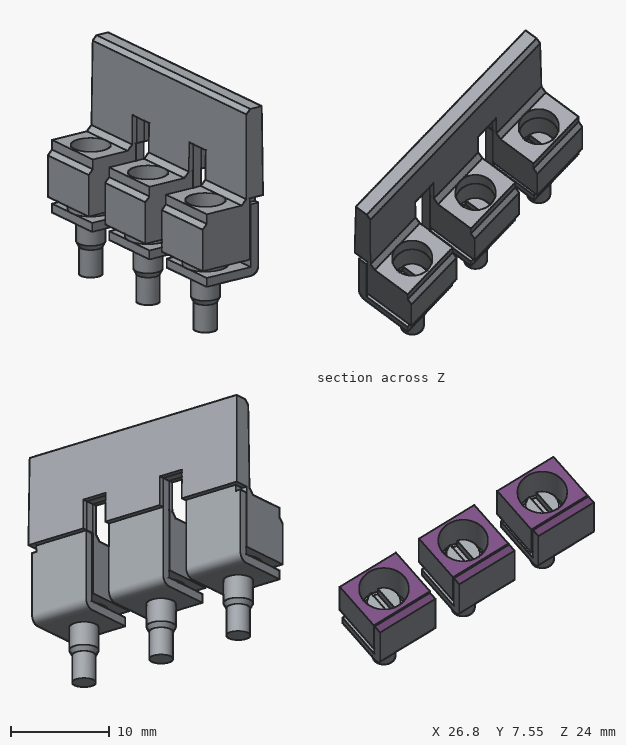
import cadquery as cq
import math


LENGTH = 26.83
DEPTH = 7.55
HEIGHT = 24.0
POLES = 3
POLE_WIDTH = 6.98
POLE_PITCH = (LENGTH - POLE_WIDTH) / (POLES - 1)
POLE_POSITIONS = [(i - (POLES - 1) / 2) * POLE_PITCH for i in range(POLES)]

GAP_WIDTH = 2.85
GAP_OFFSET = (POLE_WIDTH + GAP_WIDTH) / 2
GAP_TOP = 17.6

PLATE_BOTTOM = 14.43
PLATE_THICKNESS = 2.12
PLATE_TAPER = 0.095
PLATE_CHAMFER = 0.48
WALL = 0.6

BLOCK_BOTTOM = 7.83
BLOCK_TOP = 13.87
BLOCK_BACK = 1.66
BLOCK_CHAMFER = 0.5
LIP_HEIGHT = 1.05

HOLE_DIAMETER = 4.08
HOLE_DEPTH = 1.85

STRIP_THICKNESS = 0.97
STRIP_BACK = WALL
STRIP_FRONT = STRIP_BACK + STRIP_THICKNESS
STRIP_TOP = HEIGHT - WALL
LEG_SHOULDER = 13.76
SHELF_BOTTOM = 6.05
SHELF_TOP = SHELF_BOTTOM + STRIP_THICKNESS
SHELF_FRONT = DEPTH - BLOCK_CHAMFER

SCREW_Y = -4.7
TIP_DIAMETER = 2.41
SHANK_DIAMETER = 3.0
SHANK_BOTTOM = 3.55
SHANK_CONE_HEIGHT = 0.56
COLLAR_DIAMETER = 4.72
COLLAR_TOP = 7.65
COLLAR_CLEARANCE = 0.13
HEAD_BASE_DIAMETER = 3.5
HEAD_TOP_DIAMETER = 3.35
HEAD_HEIGHT = 2.0
DRIVE_WIDTH = 0.85
DRIVE_DEPTH = 1.0


def box(x_size, x_middle, y_back, y_front, z_low, z_high):
    """Box centred on x_middle, between two depths behind the front and two heights."""
    return (
        cq.Workplane("XY")
        .box(x_size, y_front - y_back, z_high - z_low, centered=(True, False, False))
        .translate((x_middle, -y_front, z_low))
    )


def cover_plate():
    """Upright plate, tapered on all four sides, with a chamfer along its top front edge."""
    height = HEIGHT - PLATE_BOTTOM
    taper_angle = math.degrees(math.atan(PLATE_TAPER / height))
    return (
        cq.Workplane("XY", origin=(0, -PLATE_THICKNESS / 2, PLATE_BOTTOM))
        .rect(LENGTH, PLATE_THICKNESS)
        .extrude(height, taper=taper_angle)
        .faces(">Z")
        .edges("<Y")
        .chamfer(PLATE_CHAMFER)
    )


def block_row():
    """Block under the front of the plate, running the full length."""
    lip_bottom = BLOCK_TOP - LIP_HEIGHT
    profile = [
        (-BLOCK_BACK, BLOCK_BOTTOM),
        (-DEPTH, BLOCK_BOTTOM),
        (-DEPTH, lip_bottom - BLOCK_CHAMFER),
        (-DEPTH + BLOCK_CHAMFER, lip_bottom),
        (-DEPTH + BLOCK_CHAMFER, BLOCK_TOP),
        (-PLATE_THICKNESS - (PLATE_BOTTOM - BLOCK_TOP), BLOCK_TOP),
        (-PLATE_THICKNESS, PLATE_BOTTOM),
        (-BLOCK_BACK, PLATE_BOTTOM),
    ]
    return cq.Workplane("YZ").polyline(profile).close().extrude(LENGTH / 2, both=True)


def screwdriver_hole(x):
    """Hole down through one block, widening below so that the collar of the screw can rise into it."""
    bore_radius = COLLAR_DIAMETER / 2 + COLLAR_CLEARANCE
    upper = (
        cq.Workplane("XY", origin=(x, SCREW_Y, BLOCK_TOP))
        .circle(HOLE_DIAMETER / 2)
        .extrude(-HOLE_DEPTH)
    )
    lower = (
        cq.Workplane("XY", origin=(x, SCREW_Y, BLOCK_BOTTOM))
        .circle(bore_radius)
        .extrude(BLOCK_TOP - HOLE_DEPTH - BLOCK_BOTTOM)
    )
    return upper.union(lower)


def cut_gaps(body):
    """Cut the gaps between the poles into a body."""
    for x in (-GAP_OFFSET, GAP_OFFSET):
        body = body.cut(box(GAP_WIDTH, x, 0, DEPTH, BLOCK_BOTTOM, GAP_TOP))
    return body


def strip_slab():
    """Slab enclosing the part of the bridge that sits inside the cover plate."""
    return box(LENGTH - 2 * WALL, 0, STRIP_BACK, STRIP_FRONT, PLATE_BOTTOM, STRIP_TOP)


def make_housing():
    housing = cut_gaps(cover_plate().union(block_row()))
    for x in POLE_POSITIONS:
        housing = housing.cut(screwdriver_hole(x))
    return housing.cut(strip_slab())


def leg(x):
    """L-shaped leg with a rounded outer bend; its shelf carries one screw."""
    upright = box(POLE_WIDTH, x, STRIP_BACK, STRIP_FRONT, SHELF_BOTTOM, PLATE_BOTTOM)
    shelf = box(POLE_WIDTH, x, STRIP_BACK, SHELF_FRONT, SHELF_BOTTOM, SHELF_TOP)
    return upright.union(shelf).edges("|X and >Y and <Z").fillet(STRIP_THICKNESS)


def screw(x):
    """Turned screw with a stepped tip, a collar and a slightly tapered slotted head."""
    head_top = COLLAR_TOP + HEAD_HEIGHT
    profile = [
        (0, 0),
        (TIP_DIAMETER / 2, 0),
        (TIP_DIAMETER / 2, SHANK_BOTTOM - SHANK_CONE_HEIGHT),
        (SHANK_DIAMETER / 2, SHANK_BOTTOM),
        (SHANK_DIAMETER / 2, SHELF_TOP),
        (COLLAR_DIAMETER / 2, SHELF_TOP),
        (COLLAR_DIAMETER / 2, COLLAR_TOP),
        (HEAD_BASE_DIAMETER / 2, COLLAR_TOP),
        (HEAD_TOP_DIAMETER / 2, head_top),
        (0, head_top),
    ]
    turned = cq.Workplane("XZ").polyline(profile).close().revolve(360, (0, 0), (0, 1))
    drive_slot = box(
        DRIVE_WIDTH, 0, -COLLAR_DIAMETER / 2, COLLAR_DIAMETER / 2, head_top - DRIVE_DEPTH, head_top
    )
    return turned.cut(drive_slot).translate((x, SCREW_Y, 0))


def make_bridge():
    bridge = cut_gaps(strip_slab())
    for x in POLE_POSITIONS:
        bridge = bridge.union(leg(x)).union(screw(x))
    for x in (-(LENGTH - WALL) / 2, (LENGTH - WALL) / 2):
        bridge = bridge.cut(box(WALL, x, STRIP_BACK, STRIP_FRONT, LEG_SHOULDER, PLATE_BOTTOM))
    return bridge


housing = make_housing()
bridge = make_bridge()
result = cq.Compound.makeCompound([housing.val(), bridge.val()])